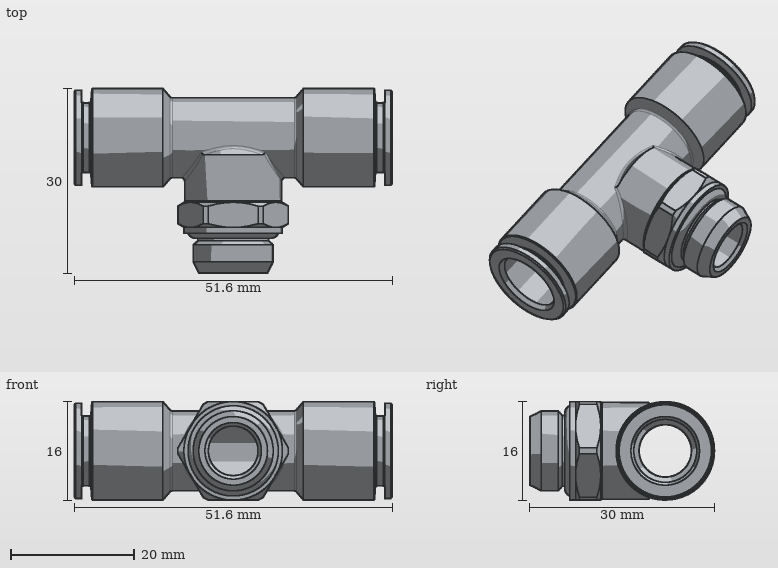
import cadquery as cq
import math


run_length = 51.6
half_run = run_length / 2
run_radius = 6.5
flange_radius = 7.75
flange_width = 1.2
flange_chamfer = 0.25
collet_shoulder_radius = 5.75
collet_groove_start = 1.45
collet_groove_end = 2.5
collet_groove_radius = 5.7
collar_radius = 8.0
collar_start = 2.7
collar_face_cone_length = 0.15
collar_chamfer = 0.15
collar_end = 14.4
collar_cone_length = 1.3
collar_cone_end = half_run - collar_end - collar_cone_length
collar_blend = 0.5

through_radius = 4.25
tube_radius = 5.1
tube_mouth_radius = 5.55
tube_mouth_depth = 0.8
tube_seat_depth = 13.95
tube_seat_length = 0.5

branch_radius = 7.9
branch_start = 2.75
branch_crown_slope = 1.3
branch_end = 10.2
branch_blend = 0.5

hex_flats = 2 * collar_radius
hex_corner_radius = 9.0
hex_start = 10.5
hex_end = 14.55
hex_chamfer_length = 0.6
hex_groove_radius = 7.75

washer_radius = collar_radius
washer_end = 15.55
seal_radius = 7.35
seal_end = 16.3
seal_crown_radius = 6.9
seal_crown = 16.05
neck_radius = 5.8
neck_end = 16.7
spigot_radius = run_radius
spigot_start = 17.4
spigot_chamfer_start = 20.1
spigot_end = 22.0
spigot_tip_radius = 5.55

branch_bore_radius = 4.0
branch_mouth_radius = 4.6
branch_mouth_depth = 0.55


def revolve_along_x(profile):
    """Revolve (x, radius) points about the X axis."""
    return cq.Workplane("XY").polyline(profile).close().revolve(360, (0, 0, 0), (1, 0, 0))


def revolve_along_branch(profile):
    """Revolve (radius, distance from the run axis) points about the branch axis."""
    points = [(radius, -distance) for radius, distance in profile]
    return cq.Workplane("XY").polyline(points).close().revolve(360, (0, 0, 0), (0, 1, 0))


def make_run_core():
    """Plain middle of the run, blended into the branch stub."""
    core = cq.Workplane("YZ").circle(run_radius).extrude(collar_cone_end, both=True)
    crown_height = branch_radius / branch_crown_slope
    stub = revolve_along_branch([
        (0, branch_start - crown_height),
        (branch_radius, branch_start),
        (branch_radius, branch_end),
        (0, branch_end),
    ])
    return core.union(stub).edges("%BSPLINE").fillet(branch_blend)


def make_socket():
    """Collar and release collet at the -X end of the run."""
    end = -half_run
    rim = end + collar_start + collar_face_cone_length
    return revolve_along_x([
        (end, 0),
        (end, flange_radius - flange_chamfer),
        (end + flange_chamfer, flange_radius),
        (end + flange_width, flange_radius),
        (end + flange_width, collet_shoulder_radius),
        (end + collet_groove_start, collet_shoulder_radius),
        (end + collet_groove_start, collet_groove_radius),
        (end + collet_groove_end, collet_groove_radius),
        (end + collet_groove_end, collet_shoulder_radius),
        (end + collar_start, collet_shoulder_radius),
        (rim, collar_radius - collar_chamfer),
        (rim + collar_chamfer, collar_radius),
        (end + collar_end, collar_radius),
        (-collar_cone_end, run_radius),
        (-collar_cone_end, 0),
    ])


def blend_collars(body):
    """Round the inside corner where each collar cone meets the run."""
    corners = [
        edge
        for edge in body.edges("%CIRCLE").vals()
        if math.isclose(abs(edge.Center().x), collar_cone_end, abs_tol=0.005)
    ]
    return body.newObject(corners).fillet(collar_blend)


def make_socket_bore():
    """Tube bore with a flared mouth and a conical seat at the -X end."""
    end = -half_run
    return revolve_along_x([
        (end, 0),
        (end, tube_mouth_radius),
        (end + tube_mouth_depth, tube_radius),
        (end + tube_seat_depth, tube_radius),
        (end + tube_seat_depth + tube_seat_length, through_radius),
        (0, through_radius),
        (0, 0),
    ])


def make_hexagon():
    """Hexagon with flats at +Z and -Z, turned corners and chamfered ends."""
    hexagon = (
        cq.Workplane("XZ", origin=(0, -hex_start, 0))
        .polygon(6, hex_flats / math.cos(math.pi / 6))
        .extrude(hex_end - hex_start)
    )
    turned_blank = revolve_along_branch([
        (0, hex_start),
        (hex_flats / 2, hex_start),
        (hex_corner_radius, hex_start + hex_chamfer_length),
        (hex_corner_radius, hex_end - hex_chamfer_length),
        (hex_flats / 2, hex_end),
        (0, hex_end),
    ])
    return hexagon.intersect(turned_blank)


def make_spigot():
    """Groove behind the hexagon, washer face, neck and threaded end."""
    return revolve_along_branch([
        (0, branch_end),
        (hex_groove_radius, branch_end),
        (hex_groove_radius, hex_end),
        (washer_radius, hex_end),
        (washer_radius, washer_end),
        (neck_radius, washer_end),
        (neck_radius, neck_end),
        (spigot_radius, spigot_start),
        (spigot_radius, spigot_chamfer_start),
        (spigot_tip_radius, spigot_end),
        (0, spigot_end),
    ])


def make_seal():
    """Seal ring on the washer face, domed from its outer rim to the neck."""
    return (
        cq.Workplane("XY")
        .moveTo(0, -washer_end)
        .lineTo(seal_radius, -washer_end)
        .threePointArc((seal_crown_radius, -seal_crown), (neck_radius, -seal_end))
        .lineTo(0, -seal_end)
        .close()
        .revolve(360, (0, 0, 0), (0, 1, 0))
    )


def make_branch_bore():
    """Bore from the spigot tip to the run axis, with a chamfered mouth."""
    return revolve_along_branch([
        (0, 0),
        (branch_bore_radius, 0),
        (branch_bore_radius, spigot_end - branch_mouth_depth),
        (branch_mouth_radius, spigot_end),
        (0, spigot_end),
    ])


def both_ends(solid):
    """Add the mirror image on the +X side."""
    return solid.union(solid.mirror("YZ"))


body = make_run_core().union(both_ends(make_socket()))
body = blend_collars(body)
result = (
    body.union(make_hexagon())
    .union(make_spigot())
    .union(make_seal())
    .cut(both_ends(make_socket_bore()))
    .cut(make_branch_bore())
)